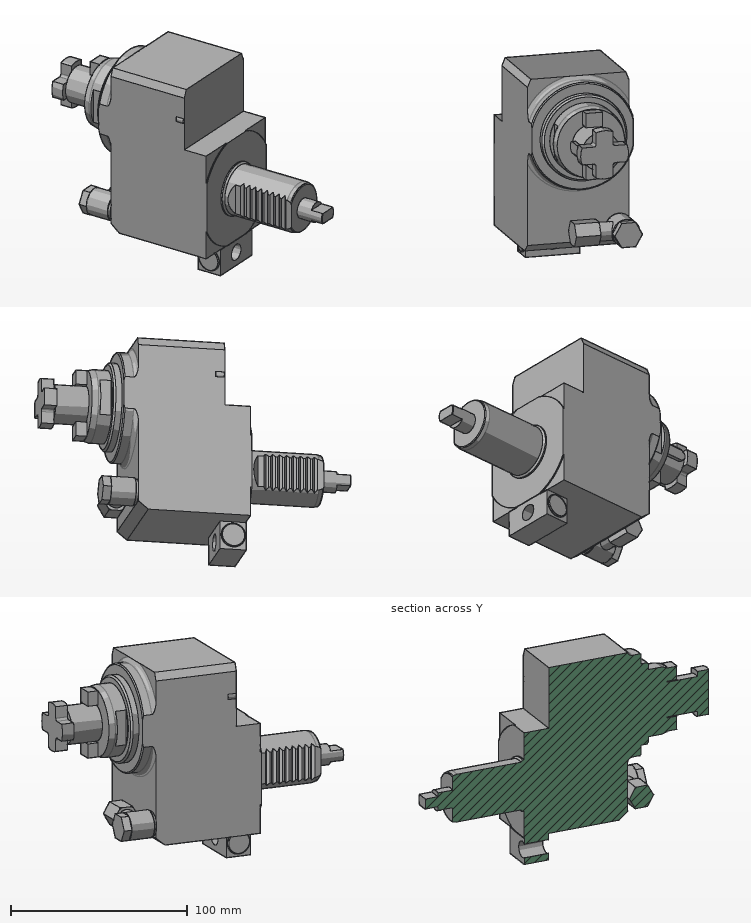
import cadquery as cq
import math


body_width = 60.0
body_height = 101.7
body_length = 65.5
upper_length = 50.0
rear_face_radius = 33.7
rear_face_relief = 0.7
step_height = 64.6
toe_length = 5.7
toe_height = 4.6
top_bevel_width = 2.0
top_bevel_height = 4.6

spindle_z = 68.4
flange_front_x = -8.4
flange_radius = 31.5
flange_fillet = 2.7
flange_chamfer = 0.7
ring_front_x = -13.0
ring_radius = 25.2
ring_chamfer = 1.0
collar_front_x = -24.6
collar_radius = 20.9
collar_front_radius = 20.0
collar_taper_end_x = -21.0
collar_flat_offset = 18.2
collar_flat_front_x = -19.8
collar_flat_rear_x = -13.4
spindle_radius = 11.0
spindle_front_x = -50.9

cross_radius = 14.1
cross_length = 7.3
cross_arm_width = 10.0
cross_corner_radius = 1.5
dog_front_x = -30.9
dog_inner_radius = 11.0
dog_outer_radius = 19.5
key_front_x = -42.8
key_length = 16.5
key_width = 6.6
key_top_offset = 12.7

shank_z = 32.3
shank_radius = 15.0
shank_end_x = 110.7
shank_tip_length = 2.9
shank_tip_radius = 14.5
shank_tip_chamfer = 0.5
seat_radius = 16.0
seat_length = 0.9
tooth_flat_offset = 12.0
tooth_depth = 1.5
tooth_count = 8
first_tooth_x = 77.5
last_tooth_x = 105.5
tooth_pitch = (last_tooth_x - first_tooth_x) / (tooth_count - 1)
ramp_end_x = 72.6
tang_radius = 6.0
tang_start_x = 119.8
tang_end_x = 127.6
tang_thickness = 6.5
tang_chamfer = 0.4

nozzle_y = -23.5
nozzle_z = 11.8
nozzle_radius = 8.0
nozzle_front_x = -15.7
nozzle_rear_x = -1.5
neck_radius = 7.3
nozzle_hex_front_x = -20.5
nozzle_hex_corner_radius = 8.2
plug_x = -8.5
plug_front_y = -8.5
plug_rear_y = 6.0
plug_across_flats = 13.4
plug_chamfer = 0.5
pipe_radius = 5.4

clamp_length = 15.2
clamp_width = 32.1
clamp_height = 16.2
clamp_hole_radius = 4.8
clamp_hole_depth = 7.9
pad_radius = 7.0
pad_height = 0.9
pad_chamfer = 0.5

pin_radius = 2.5
pin_length = 5.4
pin_protrusion = 0.5
pin_chamfer = 0.5
pin_z = 82.5

clearance = 1.8


def cylinder_x(radius, start_x, end_x, y, z):
    """Cylinder along X."""
    base = cq.Workplane("YZ", origin=(start_x, y, z))
    return base.circle(radius).extrude(end_x - start_x)


def box_between(x_range, y_range, z_range):
    """Box spanning the given ranges."""
    size = [high - low for low, high in (x_range, y_range, z_range)]
    corner = (x_range[0], y_range[0], z_range[0])
    return cq.Workplane("XY").box(*size, centered=False).translate(corner)


def revolve_x(profile, axis_z):
    """Turn a closed (x, radius) profile about an X axis at height axis_z."""
    return profile.close().revolve(360, (0, 0, 0), (1, 0, 0)).translate((0, 0, axis_z))


def body_section(start_x, end_x):
    """Bar along X with the housing's cross section, top edges bevelled."""
    half = body_width / 2
    bevel_z = body_height - top_bevel_height
    outline = [
        (-half, 0),
        (half, 0),
        (half, bevel_z),
        (half - top_bevel_width, body_height),
        (-half + top_bevel_width, body_height),
        (-half, bevel_z),
    ]
    base = cq.Workplane("YZ", origin=(start_x, 0, 0))
    return base.polyline(outline).close().extrude(end_x - start_x)


def make_body():
    """Stepped housing; its rear corners sit back from a round raised face."""
    side = [
        (0, toe_height),
        (toe_length, 0),
        (body_length, 0),
        (body_length, step_height),
        (upper_length, step_height),
        (upper_length, body_height),
        (0, body_height),
    ]
    slab = cq.Workplane("XZ").polyline(side).close().extrude(body_width / 2, both=True)
    body = slab.intersect(body_section(0, body_length))
    relief_start_x = body_length - rear_face_relief
    relief = body_section(relief_start_x, body_length)
    relief = relief.cut(cylinder_x(rear_face_radius, relief_start_x, body_length, 0, shank_z))
    return body.cut(relief)


def make_flange():
    """Spindle flange, filleted into the front face and trimmed to the housing width."""
    arc_sag = flange_fillet * math.sqrt(0.5)
    arc_middle = (-flange_fillet + arc_sag, flange_radius + flange_fillet - arc_sag)
    profile = (
        cq.Workplane("XY")
        .moveTo(flange_front_x, 0)
        .lineTo(flange_front_x, flange_radius - flange_chamfer)
        .lineTo(flange_front_x + flange_chamfer, flange_radius)
        .lineTo(-flange_fillet, flange_radius)
        .threePointArc(arc_middle, (0, flange_radius + flange_fillet))
        .lineTo(toe_length, flange_radius + flange_fillet)
        .lineTo(toe_length, 0)
    )
    return revolve_x(profile, spindle_z).intersect(body_section(flange_front_x, toe_length))


def make_collar():
    """Tapered collar with two side flats and the chamfered ring behind it."""
    collar = revolve_x(
        cq.Workplane("XY")
        .moveTo(collar_front_x, 0)
        .lineTo(collar_front_x, collar_front_radius)
        .lineTo(collar_taper_end_x, collar_radius)
        .lineTo(ring_front_x, collar_radius)
        .lineTo(ring_front_x, 0),
        spindle_z,
    )
    for side in (-1, 1):
        y_range = sorted((side * collar_flat_offset, side * ring_radius))
        z_range = (spindle_z - ring_radius, spindle_z + ring_radius)
        collar = collar.cut(box_between((collar_flat_front_x, collar_flat_rear_x), y_range, z_range))
    ring = cylinder_x(ring_radius, ring_front_x, flange_front_x, 0, spindle_z)
    return collar.union(ring.faces("<X").chamfer(ring_chamfer))


def make_cross():
    """Driving cross with rounded arm ends and filleted inner corners."""
    base = cq.Workplane("YZ", origin=(spindle_front_x, 0, spindle_z))
    arm_length = 2 * (cross_radius + clearance)
    reach = cross_arm_width / 2 + clearance
    arms = base.rect(arm_length, cross_arm_width).extrude(cross_length)
    arms = arms.union(base.rect(cross_arm_width, arm_length).extrude(cross_length))
    corner_box = cq.selectors.BoxSelector(
        (spindle_front_x - clearance, -reach, spindle_z - reach),
        (spindle_front_x + cross_length + clearance, reach, spindle_z + reach),
    )
    arms = arms.edges("|X").edges(corner_box).fillet(cross_corner_radius)
    return arms.intersect(base.circle(cross_radius).extrude(cross_length))


def make_dogs():
    """Driving dogs above and below the spindle, in front of the collar."""
    half_width = cross_arm_width / 2
    dogs = cq.Workplane("XY")
    for side in (-1, 1):
        z_range = sorted((spindle_z + side * dog_inner_radius, spindle_z + side * dog_outer_radius))
        dogs = dogs.add(
            box_between((dog_front_x, collar_front_x), (-half_width, half_width), z_range)
        )
    return dogs.combine()


def make_key():
    """Round-ended key on the +Y side of the spindle."""
    middle_x = key_front_x + key_length / 2
    base = cq.Workplane("XZ", origin=(middle_x, 0, spindle_z))
    return base.slot2D(key_length, key_width).extrude(-key_top_offset)


def make_shank():
    """Cylindrical shank with seat, driving tang and a toothed flat on the -Y side."""
    chamfer_size = seat_radius - shank_radius
    seat_end_x = body_length + seat_length
    shank = revolve_x(
        cq.Workplane("XY")
        .moveTo(body_length, 0)
        .lineTo(body_length, seat_radius)
        .lineTo(seat_end_x, seat_radius)
        .lineTo(seat_end_x + chamfer_size, shank_radius)
        .lineTo(shank_end_x - shank_tip_length, shank_radius)
        .lineTo(shank_end_x - shank_tip_chamfer, shank_tip_radius)
        .lineTo(shank_end_x, shank_tip_radius - shank_tip_chamfer)
        .lineTo(shank_end_x, 0),
        shank_z,
    )

    outer = seat_radius + clearance
    cutter_base = cq.Workplane("XY", origin=(0, 0, shank_z))
    flat_outline = [
        (ramp_end_x, -tooth_flat_offset),
        (shank_end_x + clearance, -tooth_flat_offset),
        (shank_end_x + clearance, -outer),
        (ramp_end_x - (outer - tooth_flat_offset), -outer),
    ]
    shank = shank.cut(cutter_base.polyline(flat_outline).close().extrude(outer, both=True))
    for index in range(tooth_count):
        groove_x = first_tooth_x + index * tooth_pitch
        groove = [
            (groove_x - tooth_depth, -tooth_flat_offset),
            (groove_x, -tooth_flat_offset + tooth_depth),
            (groove_x + tooth_depth, -tooth_flat_offset),
        ]
        shank = shank.cut(cutter_base.polyline(groove).close().extrude(outer, both=True))

    tang = cylinder_x(tang_radius, shank_end_x, tang_end_x, 0, shank_z)
    tang = tang.faces(">X").chamfer(tang_chamfer)
    half_tang = tang_thickness / 2
    tang_reach = tang_radius + clearance
    for side in (-1, 1):
        z_range = sorted((shank_z + side * half_tang, shank_z + side * tang_reach))
        y_range = (-tang_reach, tang_reach)
        tang = tang.cut(box_between((tang_start_x, tang_end_x), y_range, z_range))
    return shank.union(tang)


def make_nozzle():
    """Hex-headed coolant nozzle with a side pipe and hexagonal plug."""
    nozzle = cylinder_x(nozzle_radius, nozzle_front_x, nozzle_rear_x, nozzle_y, nozzle_z)
    nozzle = nozzle.union(cylinder_x(neck_radius, nozzle_rear_x, 0, nozzle_y, nozzle_z))
    head = cq.Workplane("YZ", origin=(nozzle_hex_front_x, nozzle_y, nozzle_z))
    head_length = nozzle_front_x - nozzle_hex_front_x
    nozzle = nozzle.union(head.polygon(6, 2 * nozzle_hex_corner_radius).extrude(head_length))

    pipe = cq.Workplane("XZ", origin=(plug_x, plug_front_y, nozzle_z))
    nozzle = nozzle.union(pipe.circle(pipe_radius).extrude(plug_front_y - nozzle_y))
    corner_radius = plug_across_flats / math.sqrt(3)
    plug_base = cq.Workplane("XZ", origin=(plug_x, plug_rear_y, nozzle_z))
    plug_length = plug_rear_y - plug_front_y
    plug = plug_base.polygon(6, 2 * corner_radius).extrude(plug_length)
    turned = plug_base.circle(corner_radius).extrude(plug_length).faces("<Y").chamfer(plug_chamfer)
    return nozzle.union(plug.intersect(turned))


def make_clamp():
    """Block with a cross hole along X and a round pad on each side."""
    half_width = clamp_width / 2
    middle_x = upper_length + clamp_length / 2
    x_range = (upper_length, upper_length + clamp_length)
    clamp = box_between(x_range, (-half_width, half_width), (-clamp_height, 0))
    pads = (
        cq.Workplane("XZ", origin=(middle_x, 0, -clamp_hole_depth))
        .circle(pad_radius)
        .extrude(half_width + pad_height, both=True)
        .faces("<Y or >Y")
        .chamfer(pad_chamfer)
    )
    hole = cylinder_x(clamp_hole_radius, x_range[0], x_range[1], 0, -clamp_hole_depth)
    return clamp.union(pads).cut(hole)


def make_pin():
    """Pin along X that stands slightly proud of the -Y side of the housing."""
    pin_y = -body_width / 2 - pin_protrusion + pin_radius
    pin = cylinder_x(pin_radius, upper_length - pin_length, upper_length, pin_y, pin_z)
    return pin.faces(">X").chamfer(pin_chamfer)


result = (
    make_body()
    .union(make_flange())
    .union(make_collar())
    .union(cylinder_x(spindle_radius, spindle_front_x + cross_length, flange_front_x, 0, spindle_z))
    .union(make_cross())
    .union(make_dogs())
    .union(make_key())
    .union(make_shank())
    .union(make_nozzle())
    .union(make_clamp())
    .union(make_pin())
)